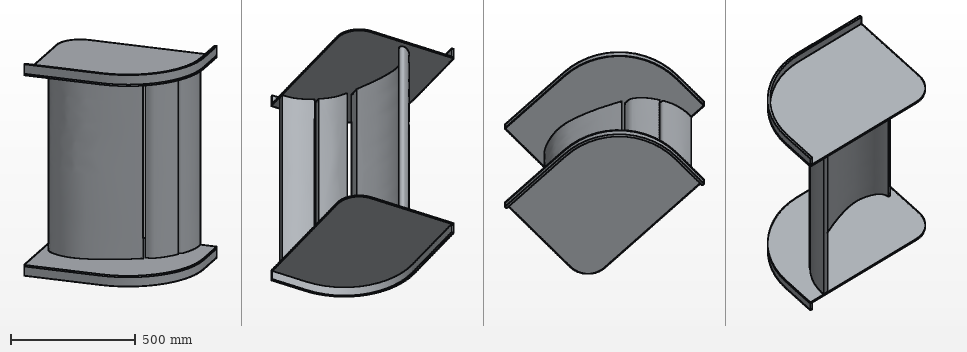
import cadquery as cq

LENGTH = 649.0
DEPTH = 480.0
HEIGHT = 900.0

BOARD_THICKNESS = 7.0
FRONT_CORNER_RADIUS = 322.0
BACK_CORNER_RADIUS = 100.0

RIM_HEIGHT = 40.0
RIM_THICKNESS = 10.0

WALL_THICKNESS = 20.0
WALL_BOTTOM = RIM_HEIGHT + BOARD_THICKNESS
WALL_HEIGHT = HEIGHT - 2 * WALL_BOTTOM
WALL_OUTER_POINTS = [
    (22.0, 229.5),
    (44.0, 184.0),
    (83.0, 162.0),
    (149.0, 148.5),
    (270.0, 172.0),
    (419.0, 235.0),
    (476.0, 268.0),
    (534.0, 333.0),
    (554.0, 367.0),
    (579.0, DEPTH),
]
INNER_FACE_STEPS = 24

FRONT_PANEL_BACK = 237.0
MIDDLE_PANEL_FRONT = 252.0
MIDDLE_PANEL_BACK = 337.5
BACK_PANEL_FRONT = 347.0

LEFT_CORNER_RADIUS = 14.0
TIP_RADIUS = 4.5
MIDDLE_BLUNT_RADIUS = 36.0
BACK_BLUNT_RADIUS = 13.5


def board_outline(inset=0.0):
    """Outline with a large front-right and a small back-left corner, `inset` from front and right."""
    right = LENGTH - inset
    front_radius = FRONT_CORNER_RADIUS - inset
    return (
        cq.Workplane("XY")
        .moveTo(0, inset)
        .lineTo(LENGTH - FRONT_CORNER_RADIUS, inset)
        .radiusArc((right, FRONT_CORNER_RADIUS), -front_radius)
        .lineTo(right, DEPTH)
        .lineTo(BACK_CORNER_RADIUS, DEPTH)
        .radiusArc((0, DEPTH - BACK_CORNER_RADIUS), -BACK_CORNER_RADIUS)
        .close()
    )


def board(bottom):
    return board_outline().extrude(BOARD_THICKNESS).translate((0, 0, bottom))


def rim(bottom):
    outside = board_outline().extrude(RIM_HEIGHT)
    inside = board_outline(RIM_THICKNESS).extrude(RIM_HEIGHT)
    return outside.cut(inside).translate((0, 0, bottom))


def full_wall():
    """The uncut wall: a smooth curve, thickened towards its hollow side."""
    outer = cq.Edge.makeSpline([cq.Vector(x, y, WALL_BOTTOM) for x, y in WALL_OUTER_POINTS])
    inner_points = []
    for i in range(INNER_FACE_STEPS + 1):
        along = i / INNER_FACE_STEPS
        inward = cq.Vector(0, 0, 1).cross(outer.tangentAt(along))
        inner_points.append(outer.positionAt(along) + inward * WALL_THICKNESS)
    inner = cq.Edge.makeSpline(inner_points)
    left_end = cq.Edge.makeLine(outer.startPoint(), inner.startPoint())
    back_end = cq.Edge.makeLine(outer.endPoint(), inner.endPoint())
    outline = cq.Wire.assembleEdges([outer, back_end, inner, left_end])
    return cq.Workplane(cq.Solid.extrudeLinear(outline, [], cq.Vector(0, 0, WALL_HEIGHT)))


def wall_between(front, back):
    """The part of the wall between two planes of constant Y."""
    band = cq.Workplane("XY").box(LENGTH, back - front, HEIGHT, centered=False)
    return full_wall().intersect(band.translate((0, front, 0)))


def front_panel():
    panel = wall_between(0, FRONT_PANEL_BACK)
    left_corner = panel.edges("|Z").edges("<X")
    return left_corner.fillet(LEFT_CORNER_RADIUS)


def round_front_end(panel, blunt_radius):
    """Round the sharp inner tip and the blunt outer corner of a panel's flat front end."""
    tip_rounded = panel.faces("<Y").edges("<X").fillet(TIP_RADIUS)
    return tip_rounded.faces("<Y").edges(">X").fillet(blunt_radius)


def middle_panel():
    panel = wall_between(MIDDLE_PANEL_FRONT, MIDDLE_PANEL_BACK)
    return round_front_end(panel, MIDDLE_BLUNT_RADIUS)


def back_panel():
    panel = wall_between(BACK_PANEL_FRONT, DEPTH)
    return round_front_end(panel, BACK_BLUNT_RADIUS)


bodies = []
for board_bottom in (RIM_HEIGHT, HEIGHT - WALL_BOTTOM):
    bodies.append(board(board_bottom).val())
for rim_bottom in (0, HEIGHT - RIM_HEIGHT):
    bodies.append(rim(rim_bottom).val())
for panel in (front_panel(), middle_panel(), back_panel()):
    bodies.extend(panel.solids().vals())

result = cq.Compound.makeCompound(bodies)